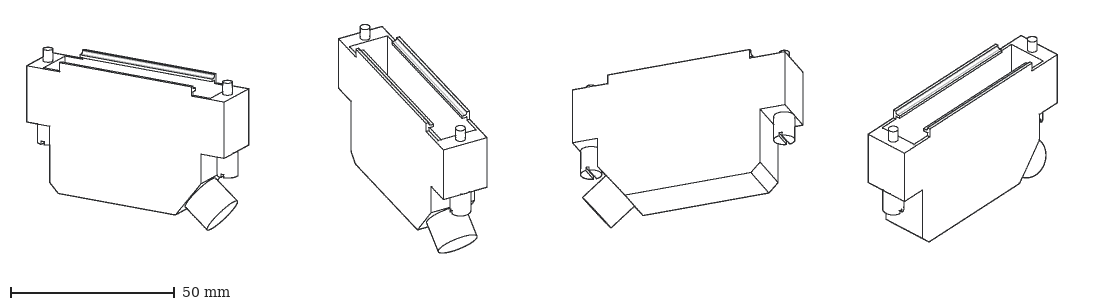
import cadquery as cq
import math

SHELL_WIDTH = 69.85
THICKNESS = 15.0
SHOULDER_DEPTH = 18.1
BODY_LEFT = -26.75
BODY_RIGHT = 26.75
BODY_BOTTOM = -39.25
CORNER_CHAMFER = 3.0
OUTLET_FACE_WIDTH = 9.1
OUTLET_FACE_HEIGHT = 11.6

WALL = 1.0
CAVITY_WIDTH = 58.9
CAVITY_DEPTH = SHOULDER_DEPTH - WALL

RAIL_LENGTH = 46.7
RAIL_HEIGHT = 2.95
LIP_REACH = 2.6
LIP_BOTTOM = 1.05
LIP_TOP = 1.9
RAIL_FILLET = 0.8

SCREW_SPACING = 63.5
PIN_DIAMETER = 3.0
PIN_HEIGHT = 3.85
HEAD_DIAMETER = 6.5
HEAD_LENGTH = 8.0
SLOT_WIDTH = 1.0
SLOT_DEPTH = 1.05

OUTLET_DIAMETER = 12.8
OUTLET_LENGTH = 9.8


def make_shell():
    half_width = SHELL_WIDTH / 2
    outline = [
        (-half_width, 0),
        (half_width, 0),
        (half_width, -SHOULDER_DEPTH),
        (BODY_RIGHT, -SHOULDER_DEPTH),
        (BODY_RIGHT, BODY_BOTTOM + OUTLET_FACE_HEIGHT),
        (BODY_RIGHT - OUTLET_FACE_WIDTH, BODY_BOTTOM),
        (BODY_LEFT + CORNER_CHAMFER, BODY_BOTTOM),
        (BODY_LEFT, BODY_BOTTOM + CORNER_CHAMFER),
        (BODY_LEFT, -SHOULDER_DEPTH),
        (-half_width, -SHOULDER_DEPTH),
    ]
    solid = cq.Workplane("XZ").polyline(outline).close().extrude(THICKNESS / 2, both=True)
    cavity = cq.Workplane("XY").rect(CAVITY_WIDTH, THICKNESS - 2 * WALL).extrude(-CAVITY_DEPTH)
    return solid.cut(cavity)


def make_rail():
    """Rail on the -Y wall, with a lip reaching inward and a concave fillet above it."""
    outer = -THICKNESS / 2
    inner = outer + WALL
    tip = outer + LIP_REACH
    arc_inset = RAIL_FILLET * (1 - math.sqrt(0.5))
    return (
        cq.Workplane("YZ")
        .moveTo(outer, 0)
        .lineTo(inner, 0)
        .lineTo(inner, LIP_BOTTOM)
        .lineTo(tip, LIP_BOTTOM)
        .lineTo(tip, LIP_TOP)
        .lineTo(inner + RAIL_FILLET, LIP_TOP)
        .threePointArc((inner + arc_inset, LIP_TOP + arc_inset), (inner, LIP_TOP + RAIL_FILLET))
        .lineTo(inner, RAIL_HEIGHT)
        .lineTo(outer, RAIL_HEIGHT)
        .close()
        .extrude(RAIL_LENGTH / 2, both=True)
    )


def make_jackscrew():
    """Pin above the shoulder and slotted head below it, centred on the Z axis."""
    pin = cq.Workplane("XY").circle(PIN_DIAMETER / 2).extrude(PIN_HEIGHT)
    head_top = cq.Workplane("XY").workplane(offset=-SHOULDER_DEPTH)
    head = head_top.circle(HEAD_DIAMETER / 2).extrude(-HEAD_LENGTH)
    slot = (
        cq.Workplane("XY")
        .workplane(offset=-SHOULDER_DEPTH - HEAD_LENGTH)
        .rect(SLOT_WIDTH, HEAD_DIAMETER)
        .extrude(SLOT_DEPTH)
    )
    return pin.union(head.cut(slot))


def make_outlet():
    face_center = (BODY_RIGHT - OUTLET_FACE_WIDTH / 2, 0, BODY_BOTTOM + OUTLET_FACE_HEIGHT / 2)
    outward = (OUTLET_FACE_HEIGHT, 0, -OUTLET_FACE_WIDTH)
    face_plane = cq.Plane(origin=face_center, xDir=(0, 1, 0), normal=outward)
    return cq.Workplane(face_plane).circle(OUTLET_DIAMETER / 2).extrude(OUTLET_LENGTH)


rail = make_rail()
jackscrew = make_jackscrew()

result = make_shell().union(rail).union(rail.mirror("XZ")).union(make_outlet())
for side in (-1, 1):
    result = result.union(jackscrew.translate((side * SCREW_SPACING / 2, 0, 0)))